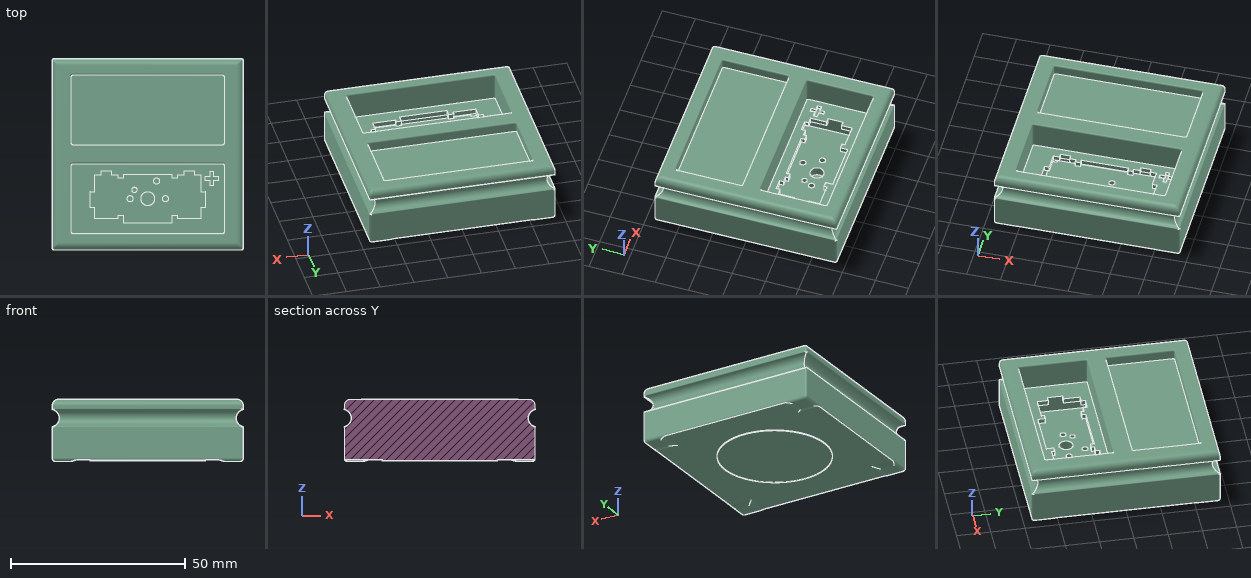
import cadquery as cq
import math

side = 55.0
height = 18.0
half = side / 2
corner_radius = 0.6
top_radius = 2.0
bottom_radius = 1.0

cove_z = 12.5
cove_radius = 2.5
cove_depth = 2.05
lip_radius = 0.25

pocket_length = 44.0
pocket_width = 20.0
pocket_offset = 12.75
pocket_corner_radius = 0.5
pocket_rim_radius = 0.5
rear_pocket_depth = 3.0
front_pocket_depth = 8.0

plate_top_z = height - front_pocket_depth
plate_thickness = 1.5
cavity_floor_z = 5.0
cavity_width = 21.0
cavity_half_length = 14.85
cavity_end_width = 19.5

switch_half = 7.0
stabiliser_x = 11.9
stabiliser_width = 6.7
stabiliser_y = (-5.7, 6.8)
bridge_y = (-4.8, 5.9)
rear_tab_width = 3.05
rear_tab_end_y = 8.0
end_tab_x = 16.6
end_tab_y = (-2.5, 1.95)

cross_x = 18.4
cross_y = 5.8
cross_span = 4.0
cross_arm_along_x = 1.17
cross_arm_along_y = 0.95
cross_depth = 1.0

pitch = 1.27
floor_holes = [
    (3.99, 0.0, 0.0),
    (1.75, -4 * pitch, 0.0),
    (1.75, 4 * pitch, 0.0),
    (1.52, -3 * pitch, 2 * pitch),
    (1.75, 2 * pitch, 4 * pitch),
]
floor_hole_depth = 3.0

foot_height = 0.5
foot_inner = 22.1
foot_slope_inner = 20.3
pad_radius = 16.6
pad_height = 0.25


def box_between(x_range, y_range, z_range):
    """Box spanning the given ranges, with y measured from the front pocket centre."""
    return (
        cq.Workplane("XY")
        .box(
            x_range[1] - x_range[0],
            y_range[1] - y_range[0],
            z_range[1] - z_range[0],
            centered=False,
        )
        .translate((x_range[0], y_range[0] - pocket_offset, z_range[0]))
    )


def make_block():
    block = cq.Workplane("XY").box(side, side, height, centered=(True, True, False))
    block = block.faces(">Z").edges().fillet(top_radius)
    block = block.edges("|Z").fillet(corner_radius)
    return block.faces("<Z").edges().fillet(bottom_radius)


def make_cove_cutter():
    """Bar along Y whose inner side is the cove and its rounded lips, on the +X face."""
    centre_x = half + cove_radius - cove_depth
    lip_x = half - lip_radius
    reach = cove_radius + lip_radius
    lip_z = math.sqrt(reach**2 - (centre_x - lip_x) ** 2)
    lip_angle = math.atan2(lip_z, centre_x - lip_x)
    tangent_x = centre_x - cove_radius * math.cos(lip_angle)
    tangent_z = cove_radius * math.sin(lip_angle)
    lip_mid_x = lip_x + lip_radius * math.cos(lip_angle / 2)
    lip_mid_z = lip_z - lip_radius * math.sin(lip_angle / 2)
    outside = half + lip_radius
    return (
        cq.Workplane("XZ")
        .moveTo(outside, cove_z + lip_z)
        .lineTo(half, cove_z + lip_z)
        .threePointArc((lip_mid_x, cove_z + lip_mid_z), (tangent_x, cove_z + tangent_z))
        .threePointArc((half - cove_depth, cove_z), (tangent_x, cove_z - tangent_z))
        .threePointArc((lip_mid_x, cove_z - lip_mid_z), (half, cove_z - lip_z))
        .lineTo(outside, cove_z - lip_z)
        .close()
        .extrude(half + lip_radius, both=True)
    )


def cut_coves(body):
    cutter = make_cove_cutter()
    for turn in range(4):
        body = body.cut(cutter.rotate((0, 0, 0), (0, 0, 1), 90 * turn))
    return body


def cut_pocket(body, y, depth):
    pocket = (
        cq.Workplane("XY", origin=(0, y, height - depth))
        .rect(pocket_length, pocket_width)
        .extrude(depth)
        .edges("|Z")
        .fillet(pocket_corner_radius)
    )
    margin = pocket_rim_radius
    rim_box = cq.selectors.BoxSelector(
        (-pocket_length / 2 - margin, y - pocket_width / 2 - margin, height - margin / 2),
        (pocket_length / 2 + margin, y + pocket_width / 2 + margin, height + margin / 2),
    )
    return body.cut(pocket).edges(rim_box).fillet(pocket_rim_radius)


def cut_plate_opening(body):
    z_range = (plate_top_z - plate_thickness, plate_top_z)
    opening = box_between((-switch_half, switch_half), (-switch_half, switch_half), z_range)
    slot_outer_x = stabiliser_x + stabiliser_width / 2
    slot_inner_x = stabiliser_x - stabiliser_width / 2
    tab_inner_x = stabiliser_x - rear_tab_width / 2
    tab_outer_x = stabiliser_x + rear_tab_width / 2
    slot = (
        box_between((slot_inner_x, slot_outer_x), stabiliser_y, z_range)
        .union(box_between((switch_half, slot_inner_x), bridge_y, z_range))
        .union(box_between((tab_inner_x, tab_outer_x), (0, rear_tab_end_y), z_range))
        .union(box_between((slot_outer_x, end_tab_x), end_tab_y, z_range))
    )
    return body.cut(opening.union(slot).union(slot.mirror("YZ")))


def cut_cavity(body):
    z_range = (cavity_floor_z, plate_top_z - plate_thickness)
    middle = box_between(
        (-cavity_half_length, cavity_half_length),
        (-cavity_width / 2, cavity_width / 2),
        z_range,
    )
    ends = box_between(
        (-end_tab_x, end_tab_x),
        (-cavity_end_width / 2, cavity_end_width / 2),
        z_range,
    )
    return body.cut(middle.union(ends))


def cut_floor_holes(body):
    for diameter, x, y in floor_holes:
        origin = (x, y - pocket_offset, cavity_floor_z - floor_hole_depth)
        hole = cq.Workplane("XY", origin=origin).circle(diameter / 2).extrude(floor_hole_depth)
        body = body.cut(hole)
    return body


def cut_cross(body):
    origin = (cross_x, cross_y - pocket_offset, plate_top_z - cross_depth)
    floor = cq.Workplane("XY", origin=origin)
    arm_along_x = floor.rect(cross_span, cross_arm_along_x).extrude(cross_depth)
    arm_along_y = floor.rect(cross_arm_along_y, cross_span).extrude(cross_depth)
    return body.cut(arm_along_x.union(arm_along_y))


def make_channel_cutter():
    """Trapezoidal channel along Y that separates the feet on the underside."""
    return (
        cq.Workplane("XZ")
        .polyline(
            [
                (-foot_inner, 0),
                (foot_inner, 0),
                (foot_slope_inner, foot_height),
                (-foot_slope_inner, foot_height),
            ]
        )
        .close()
        .extrude(half, both=True)
    )


def cut_underside(body):
    channel = make_channel_cutter()
    channels = channel.union(channel.rotate((0, 0, 0), (0, 0, 1), 90))
    pad = (
        cq.Workplane("XY", origin=(0, 0, foot_height - pad_height))
        .circle(pad_radius)
        .extrude(pad_height)
    )
    return body.cut(channels.cut(pad))


result = make_block()
result = cut_coves(result)
result = cut_pocket(result, pocket_offset, rear_pocket_depth)
result = cut_pocket(result, -pocket_offset, front_pocket_depth)
result = cut_plate_opening(result)
result = cut_cavity(result)
result = cut_floor_holes(result)
result = cut_cross(result)
result = cut_underside(result)